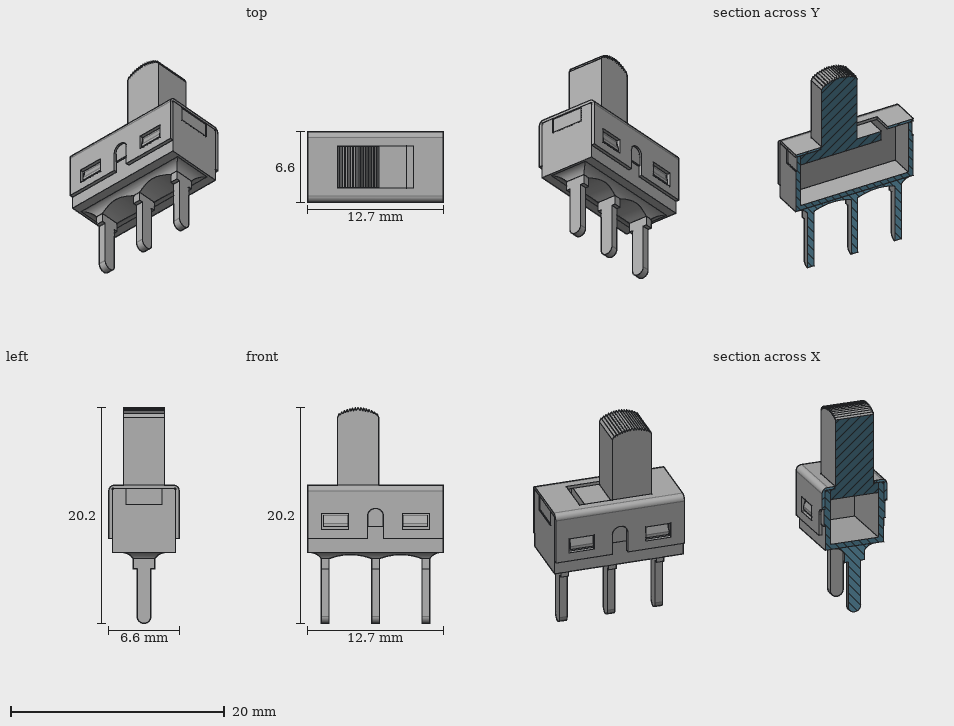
import cadquery as cq
import math


TOTAL_HEIGHT = 20.2
COVER_TOP = 12.95
COVER_BOTTOM = 7.93
HOUSING_BOTTOM = 6.62

LENGTH = 12.7
COVER_WIDTH = 6.6
COVER_TOP_SHEET = 0.3
COVER_SIDE_SHEET = 0.35
COVER_BEND_RADIUS = 0.57
OPENING_LENGTH = 7.13
OPENING_WIDTH = 3.94
WINDOW_LENGTH = 2.5
WINDOW_HEIGHT = 1.47
WINDOW_CENTRE_X = 3.78
WINDOW_CENTRE_Z = 9.53
SLOT_WIDTH = 1.51
SLOT_ARC_CENTRE_Z = 10.0

HOUSING_WIDTH = COVER_WIDTH - 2 * COVER_SIDE_SHEET
HOUSING_TOP = COVER_TOP - COVER_TOP_SHEET
HOUSING_EDGE_RADIUS = 0.22
HOUSING_WALL = 0.57
END_RECESS_WIDTH = 3.35
END_RECESS_HEIGHT = 1.53
END_RECESS_DEPTH = 0.12
CATCH_LENGTH = 2.26
CATCH_CENTRE_X = 3.71
CATCH_TOP = 10.07
CATCH_RAMP_END = 9.35
CATCH_BOTTOM = 9.05
CATCH_DEPTH = 0.2
BOSS_WIDTH = 1.4
BOSS_DEPTH = 0.16

BUTTON_LENGTH = 3.88
BUTTON_WIDTH = 3.85
BUTTON_SIDE_TOP = 19.26
BUTTON_CENTRE_X = (BUTTON_LENGTH - OPENING_LENGTH) / 2
PLATE_RIGHT = 2.89
PLATE_THICKNESS = 1.0
RIDGE_COUNT = 15
RIDGE_SPAN = 3.53
RIDGE_PITCH = RIDGE_SPAN / (RIDGE_COUNT - 1)
RIDGE_TIP_RADIUS = 3.03
RIDGE_ROOT_RADIUS = 3.7
RIDGE_ROOT_TOP = 19.9
RIDGE_LEAN = 0.06

PIN_PITCH = 4.7
PIN_THICKNESS = 0.75
PIN_WIDTH = 1.3
SHOULDER_WIDTH = 2.04
SHOULDER_BOTTOM = 5.1
RESIN_BOTTOM = 6.05
RESIN_SAG_LEVEL = 6.42
RESIN_RADIUS = 2.4 / 2

SIDES = (-1, 1)


def box(x_min, x_max, width, z_min, z_max):
    """Block between two X and two Z values, centred on Y = 0."""
    block = cq.Workplane("XY").box(x_max - x_min, width, z_max - z_min, centered=(False, True, False))
    return block.translate((x_min, 0, z_min))


def round_topped_prism(z_bottom, depth):
    """Upright prism with the outline of the cover slot, centred on Y = 0."""
    radius = SLOT_WIDTH / 2
    outline = (
        cq.Workplane("XZ")
        .moveTo(-radius, z_bottom)
        .lineTo(-radius, SLOT_ARC_CENTRE_Z)
        .threePointArc((0, SLOT_ARC_CENTRE_Z + radius), (radius, SLOT_ARC_CENTRE_Z))
        .lineTo(radius, z_bottom)
        .close()
    )
    return outline.extrude(depth / 2, both=True)


def make_cover():
    half = LENGTH / 2
    cover = box(-half, half, COVER_WIDTH, COVER_BOTTOM, COVER_TOP)
    cover = cover.edges("|X and >Z").fillet(COVER_BEND_RADIUS)
    cover = cover.cut(box(-half, half, HOUSING_WIDTH, COVER_BOTTOM, HOUSING_TOP))
    cover = cover.cut(box(-OPENING_LENGTH / 2, OPENING_LENGTH / 2, OPENING_WIDTH, HOUSING_TOP, COVER_TOP))
    cover = cover.cut(round_topped_prism(COVER_BOTTOM, COVER_WIDTH))
    windows = (
        cq.Workplane("XZ")
        .pushPoints([(side * WINDOW_CENTRE_X, WINDOW_CENTRE_Z) for side in SIDES])
        .rect(WINDOW_LENGTH, WINDOW_HEIGHT)
        .extrude(COVER_WIDTH / 2, both=True)
    )
    return cover.cut(windows)


def make_catch(x_side):
    """Ramped catches on both long sides, which hold the cover by one pair of windows."""
    face = HOUSING_WIDTH / 2
    tip = face + CATCH_DEPTH
    outline = [
        (-face, CATCH_TOP),
        (-tip, CATCH_RAMP_END),
        (-tip, CATCH_BOTTOM),
        (tip, CATCH_BOTTOM),
        (tip, CATCH_RAMP_END),
        (face, CATCH_TOP),
    ]
    catch = cq.Workplane("YZ").polyline(outline).close().extrude(CATCH_LENGTH / 2, both=True)
    return catch.translate((x_side * CATCH_CENTRE_X, 0, 0))


def make_bosses():
    """Bosses on both long sides that fill the round top of the cover slots, with play at their flanks."""
    depth = HOUSING_WIDTH + 2 * BOSS_DEPTH
    between_flanks = box(-BOSS_WIDTH / 2, BOSS_WIDTH / 2, depth, CATCH_BOTTOM, HOUSING_TOP)
    return round_topped_prism(CATCH_BOTTOM, depth).intersect(between_flanks)


def make_housing():
    half = LENGTH / 2
    housing = box(-half, half, HOUSING_WIDTH, HOUSING_BOTTOM, HOUSING_TOP)
    housing = housing.edges("|X and >Z").fillet(HOUSING_EDGE_RADIUS)
    for side in SIDES:
        housing = housing.union(make_catch(side))
    housing = housing.union(make_bosses())

    recess_floor = HOUSING_TOP - END_RECESS_HEIGHT
    inner = half - END_RECESS_DEPTH
    housing = housing.cut(box(-half, -inner, END_RECESS_WIDTH, recess_floor, HOUSING_TOP))
    housing = housing.cut(box(inner, half, END_RECESS_WIDTH, recess_floor, HOUSING_TOP))

    cavity_half = half - HOUSING_WALL
    cavity_width = HOUSING_WIDTH - 2 * HOUSING_WALL
    cavity_floor = HOUSING_BOTTOM + HOUSING_WALL
    return housing.cut(box(-cavity_half, cavity_half, cavity_width, cavity_floor, HOUSING_TOP))


def arc_height(x, radius, top):
    """Z of a circular crown of the given radius and top level, at x from its centre."""
    return top - radius + math.sqrt(radius**2 - x**2)


def make_slider():
    half = BUTTON_LENGTH / 2
    middle = (RIDGE_COUNT - 1) / 2
    crown = []
    for index in range(RIDGE_COUNT):
        tip_x = (index - middle) * RIDGE_PITCH
        crown.append((tip_x, arc_height(tip_x, RIDGE_TIP_RADIUS, TOTAL_HEIGHT)))
        if index < RIDGE_COUNT - 1:
            mid_x = tip_x + RIDGE_PITCH / 2
            root_x = mid_x + math.copysign(RIDGE_LEAN, mid_x)
            crown.append((root_x, arc_height(root_x, RIDGE_ROOT_RADIUS, RIDGE_ROOT_TOP)))

    outline = [(-half, HOUSING_TOP), (-half, BUTTON_SIDE_TOP), *crown]
    outline += [(half, BUTTON_SIDE_TOP), (half, HOUSING_TOP)]
    button = cq.Workplane("XZ").polyline(outline).close().extrude(BUTTON_WIDTH / 2, both=True)
    button = button.translate((BUTTON_CENTRE_X, 0, 0))

    plate_left = HOUSING_WALL - LENGTH / 2
    plate_width = HOUSING_WIDTH - 2 * HOUSING_WALL
    plate = box(plate_left, PLATE_RIGHT, plate_width, HOUSING_TOP - PLATE_THICKNESS, HOUSING_TOP)
    return button.union(plate)


def make_pin(x_centre):
    """Flat pin with a rounded tip and a wider shoulder, up to the underside of the housing."""
    left = x_centre - PIN_THICKNESS / 2
    right = x_centre + PIN_THICKNESS / 2
    radius = PIN_WIDTH / 2
    shoulder = box(left, right, SHOULDER_WIDTH, SHOULDER_BOTTOM, HOUSING_BOTTOM)
    shank = box(left, right, PIN_WIDTH, radius, SHOULDER_BOTTOM)
    tip = cq.Workplane("YZ").center(0, radius).circle(radius).extrude(PIN_THICKNESS)
    return shoulder.union(shank).union(tip.translate((left, 0, 0)))


RESIN_HEIGHT = HOUSING_BOTTOM - RESIN_BOTTOM
RESIN_REACH = math.sqrt(RESIN_RADIUS**2 - (RESIN_RADIUS - RESIN_HEIGHT) ** 2)


def slope_midpoint(start, side):
    """Point halfway along the concave slope that leaves the housing at (start, HOUSING_BOTTOM)."""
    half_angle = math.asin(RESIN_REACH / RESIN_RADIUS) / 2
    inward = RESIN_RADIUS * math.sin(half_angle)
    drop = RESIN_RADIUS * (1 - math.cos(half_angle))
    return (start - side * inward, HOUSING_BOTTOM - drop)


def make_resin():
    """Resin that hangs between the pins and curves up to the housing all round."""
    pin_half = PIN_THICKNESS / 2
    pin_end = PIN_PITCH + pin_half
    long_end = pin_end + RESIN_REACH
    along = (
        cq.Workplane("XZ")
        .moveTo(-long_end, HOUSING_BOTTOM)
        .threePointArc(slope_midpoint(-long_end, -1), (-pin_end, RESIN_BOTTOM))
        .lineTo(pin_half - PIN_PITCH, RESIN_BOTTOM)
        .threePointArc((-PIN_PITCH / 2, RESIN_SAG_LEVEL), (-pin_half, RESIN_BOTTOM))
        .lineTo(pin_half, RESIN_BOTTOM)
        .threePointArc((PIN_PITCH / 2, RESIN_SAG_LEVEL), (PIN_PITCH - pin_half, RESIN_BOTTOM))
        .lineTo(pin_end, RESIN_BOTTOM)
        .threePointArc(slope_midpoint(long_end, 1), (long_end, HOUSING_BOTTOM))
        .close()
        .extrude(COVER_WIDTH, both=True)
    )
    shoulder_half = SHOULDER_WIDTH / 2
    wide_end = shoulder_half + RESIN_REACH
    across = (
        cq.Workplane("YZ")
        .moveTo(-wide_end, HOUSING_BOTTOM)
        .threePointArc(slope_midpoint(-wide_end, -1), (-shoulder_half, RESIN_BOTTOM))
        .lineTo(shoulder_half, RESIN_BOTTOM)
        .threePointArc(slope_midpoint(wide_end, 1), (wide_end, HOUSING_BOTTOM))
        .close()
        .extrude(LENGTH, both=True)
    )
    return along.intersect(across)


def make_terminals():
    terminals = make_resin()
    for position in (-1, 0, 1):
        terminals = terminals.union(make_pin(position * PIN_PITCH))
    return terminals


cover = make_cover()
housing = make_housing()
slider = make_slider()
terminals = make_terminals()

bodies = [cover, housing, slider, terminals]
result = cq.Compound.makeCompound([body.solids().val() for body in bodies])